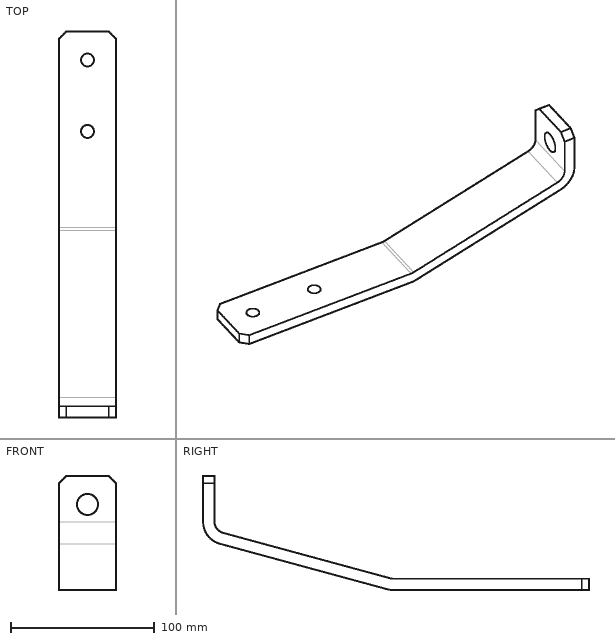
import cadquery as cq
import math

length = 270.0
width = 40.0
height = 80.0
thickness = 8.0

foot_length = 139.0
slope_angle = 15.2
foot_bend_inner_radius = 8.0
tab_bend_inner_radius = 8.0

corner_chamfer = 5.0
foot_hole_diameter = 9.0
foot_hole_from_end = 20.0
foot_hole_spacing = 50.0
tab_hole_diameter = 14.5
tab_hole_from_top = 20.0

slope_tangent = math.tan(math.radians(slope_angle))
slope_vertical_thickness = thickness / math.cos(math.radians(slope_angle))
foot_corner_y = length - foot_length


def slope_underside(y):
    """Height of the underside of the sloping run."""
    return (foot_corner_y - y) * slope_tangent


def slope_top(y):
    """Height of the upper face of the sloping run."""
    return slope_underside(y) + slope_vertical_thickness


def bent_strip():
    """Side profile with sharp bends, extruded across the width, then rounded."""
    foot_top_corner_y = foot_corner_y + (slope_vertical_thickness - thickness) / slope_tangent
    inner_foot_bend = (foot_top_corner_y, thickness)
    outer_foot_bend = (foot_corner_y, 0)
    inner_tab_bend = (thickness, slope_top(thickness))
    outer_tab_bend = (0, slope_underside(0))
    strip = (
        cq.Workplane("YZ")
        .polyline([
            (length, 0),
            outer_foot_bend,
            outer_tab_bend,
            (0, height),
            (thickness, height),
            inner_tab_bend,
            inner_foot_bend,
            (length, thickness),
        ])
        .close()
        .extrude(width / 2, both=True)
    )
    bends = [
        (inner_foot_bend, foot_bend_inner_radius),
        (outer_foot_bend, foot_bend_inner_radius + thickness),
        (inner_tab_bend, tab_bend_inner_radius),
        (outer_tab_bend, tab_bend_inner_radius + thickness),
    ]
    for (y, z), radius in bends:
        bend_edge = cq.selectors.NearestToPointSelector((0, y, z))
        strip = strip.edges("|X").edges(bend_edge).fillet(radius)
    return strip


def chamfer_corners(strip):
    """Cut the two corners at the end of the foot and the two at the top of the tab."""
    strip = strip.faces(">Y").edges("|Z").chamfer(corner_chamfer)
    return strip.faces(">Z").edges("|Y").chamfer(corner_chamfer)


def foot_holes():
    """Two upright pins along the foot."""
    first_y = length - foot_hole_from_end
    centres = [(0, first_y), (0, first_y - foot_hole_spacing)]
    return cq.Workplane("XY").pushPoints(centres).circle(foot_hole_diameter / 2).extrude(thickness)


def tab_hole():
    """One pin through the tab along Y."""
    return (
        cq.Workplane("XZ")
        .center(0, height - tab_hole_from_top)
        .circle(tab_hole_diameter / 2)
        .extrude(-thickness)
    )


result = chamfer_corners(bent_strip()).cut(foot_holes()).cut(tab_hole())